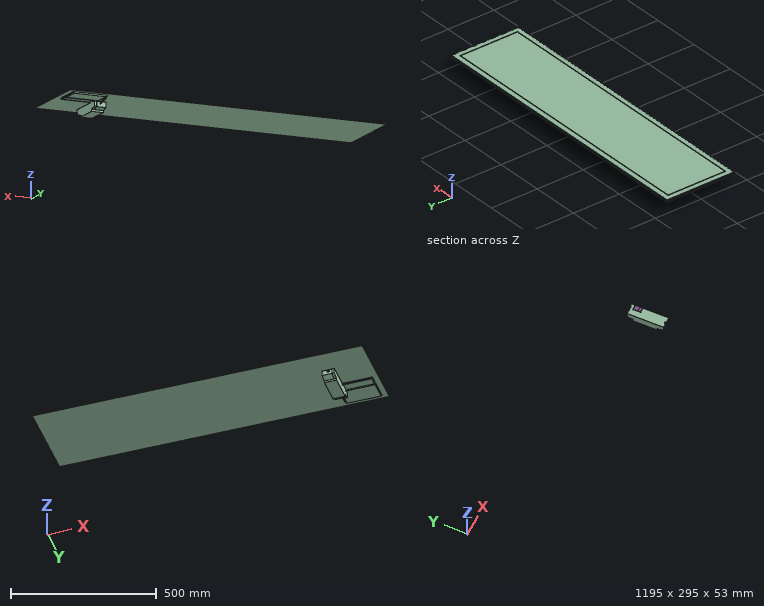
import cadquery as cq

panel_length = 1195.0
panel_width = 295.0
panel_thickness = 11.4
bezel_width = 23.0
diffuser_recess = 1.0
groove_height = panel_thickness / 3
groove_depth = 1.0
overall_height = 53.0
panel_bottom = overall_height - panel_thickness

mount_x_min = 448.0
mount_x_max = 576.0
mount_bottom = 36.0
mount_chamfer = 2.0
box_y_min = 62.0
box_y_max = 127.0
bracket_y_min = 25.0
bracket_y_max = 56.0

driver_x_min = 427.0
driver_width = 44.0
driver_top = 32.0
driver_half_length = 72.0
driver_shoulder = 13.0
foot_half_length = 47.0
foot_height = 7.0
flange_thickness = 8.0
housing_inset_front = 1.0
housing_inset_back = 4.0
housing_x_max = driver_x_min + driver_width - flange_thickness

socket_diameter = 8.0
socket_depth = 5.0
socket_z = 27.0

cable_diameter = 3.3
cable_x = 448.0
cable_start_y = 117.0
cable_end_y = driver_half_length - housing_inset_back - cable_diameter
cable_end_z = 24.0


def block(x_min, x_max, y_min, y_max, z_min, z_max):
    size = (x_max - x_min, y_max - y_min, z_max - z_min)
    return cq.Workplane("XY").box(*size, centered=False).translate((x_min, y_min, z_min))


def make_panel():
    slab = cq.Workplane("XY").box(panel_length, panel_width, panel_thickness, centered=(True, True, False))
    recess = (
        cq.Workplane("XY", origin=(0, 0, panel_thickness - diffuser_recess))
        .rect(panel_length - 2 * bezel_width, panel_width - 2 * bezel_width)
        .extrude(diffuser_recess)
    )
    groove = (
        cq.Workplane("XY", origin=(0, 0, (panel_thickness - groove_height) / 2))
        .rect(panel_length, panel_width)
        .rect(panel_length - 2 * groove_depth, panel_width - 2 * groove_depth)
        .extrude(groove_height)
    )
    return slab.cut(recess).cut(groove).translate((0, 0, panel_bottom))


def make_mounts():
    """Junction box and bracket, plus the short post that carries the driver."""
    junction_box = block(mount_x_min, mount_x_max, box_y_min, box_y_max, mount_bottom, panel_bottom)
    bracket = block(mount_x_min, mount_x_max, bracket_y_min, bracket_y_max, mount_bottom, panel_bottom)
    post = block(
        mount_x_min + mount_chamfer, driver_x_min + driver_width,
        bracket_y_min + mount_chamfer, bracket_y_max, driver_top, mount_bottom,
    )
    junction_box = junction_box.edges("|Y and <Z").chamfer(mount_chamfer)
    bracket = bracket.edges("(>X or <X or <Y) and <Z").chamfer(mount_chamfer)
    return junction_box.union(bracket).union(post)


def driver_slice(x_min, x_max, front_inset, back_inset):
    """Driver cross-section, tapering to a narrower foot, between two X planes."""
    front = -driver_half_length + front_inset
    back = driver_half_length - back_inset
    outline = [
        (-foot_half_length, 0),
        (foot_half_length, 0),
        (foot_half_length, foot_height),
        (back, driver_shoulder),
        (back, driver_top),
        (front, driver_top),
        (front, driver_shoulder),
        (-foot_half_length, foot_height),
    ]
    return cq.Workplane("YZ", origin=(x_min, 0, 0)).polyline(outline).close().extrude(x_max - x_min)


def make_driver():
    housing = driver_slice(driver_x_min, housing_x_max, housing_inset_front, housing_inset_back)
    flange = driver_slice(housing_x_max, driver_x_min + driver_width, 0, 0)
    housing_front = -driver_half_length + housing_inset_front
    socket = (
        cq.Workplane("XZ", origin=(cable_x, housing_front, socket_z))
        .circle(socket_diameter / 2)
        .extrude(-socket_depth)
    )
    return housing.union(flange).cut(socket)


def make_cable():
    start = cq.Vector(cable_x, cable_start_y, mount_bottom)
    run = cq.Vector(cable_x, cable_end_y, cable_end_z) - start
    return cq.Workplane(cq.Solid.makeCylinder(cable_diameter / 2, run.Length, start, run))


result = make_panel().union(make_mounts()).union(make_driver()).union(make_cable())